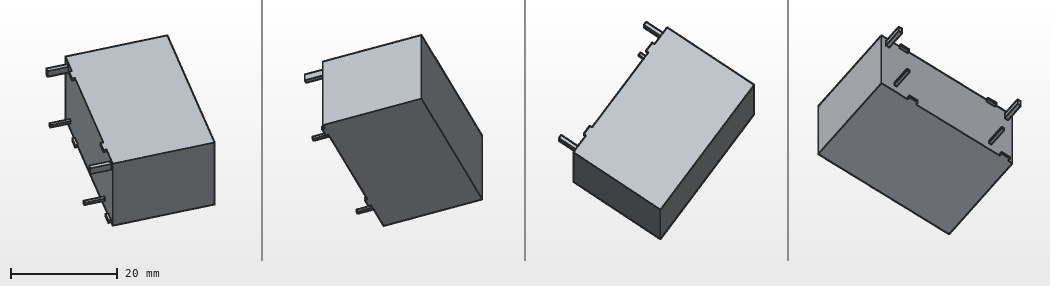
import cadquery as cq

housing_length = 30.5
housing_depth = 19.95
housing_height = 16.0

foot_width = 1.98
foot_height = 0.6
foot_projection = 0.55
top_foot_centers = (-10.15, 10.15)
bottom_foot_centers = (-8.15, 13.3)

pin_length = 4.05
blade_pin_width = 0.8
blade_pin_height = 1.5
blade_pin_centers = (-13.82, 13.82)
blade_pin_z = 14.25
square_pin_size = 0.6
square_pin_centers = (-12.02, 10.03)
square_pin_z = 2.3


def projecting_block(width, projection, height, center_x, center_z):
    """Rectangular block that stands out of the pin face towards -Y."""
    return (
        cq.Workplane("XY")
        .box(width, projection, height)
        .translate((center_x, -projection / 2, center_z))
    )


result = cq.Workplane("XY").box(
    housing_length, housing_depth, housing_height, centered=(True, False, False)
)

foot_rows = (
    (top_foot_centers, housing_height - foot_height / 2),
    (bottom_foot_centers, foot_height / 2),
)
for centers, center_z in foot_rows:
    for center_x in centers:
        result = result.union(
            projecting_block(foot_width, foot_projection, foot_height, center_x, center_z)
        )

for center_x in blade_pin_centers:
    result = result.union(
        projecting_block(blade_pin_width, pin_length, blade_pin_height, center_x, blade_pin_z)
    )

for center_x in square_pin_centers:
    result = result.union(
        projecting_block(square_pin_size, pin_length, square_pin_size, center_x, square_pin_z)
    )